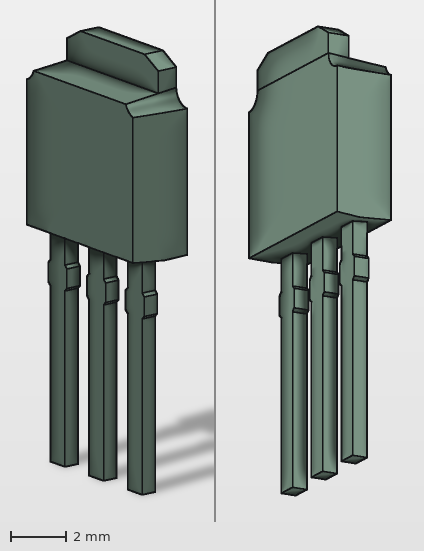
import cadquery as cq
import math

TOTAL_HEIGHT = 16.35

HOUSING_WIDTH = 6.7
HOUSING_DEPTH = 2.35
DRAFT = math.radians(5)
HOUSING_TOP = TOTAL_HEIGHT - 1.22
HOUSING_BOTTOM = 8.89
BACK_BOTTOM_RISE = 0.05
NOTCH_RADIUS = 0.65

TAB_WIDTH = 5.4
TAB_THICKNESS = 0.84
TAB_CORNER_RUN = 0.8
TAB_CORNER_DROP = 0.45

LEAD_COUNT = 3
LEAD_PITCH = 2.286
LEAD_WIDTH = 0.87
LEAD_THICKNESS = 0.6
LEAD_BACK = -0.99
COLLAR_WIDTH = 1.11
COLLAR_TOP = 7.64
COLLAR_BOTTOM = 6.66
COLLAR_BEVEL = 0.12

TRIM_LENGTH = 0.5


def make_housing():
    front_y = -HOUSING_DEPTH
    full_draft = HOUSING_DEPTH * math.tan(DRAFT)
    front_bottom_rise = (HOUSING_DEPTH + LEAD_BACK) * math.tan(DRAFT)
    half_back = HOUSING_WIDTH / 2
    half_front = half_back - full_draft

    side_profile = (
        cq.Workplane("YZ")
        .moveTo(0, HOUSING_TOP)
        .lineTo(front_y, HOUSING_TOP - full_draft)
        .lineTo(front_y, HOUSING_BOTTOM + front_bottom_rise)
        .lineTo(LEAD_BACK, HOUSING_BOTTOM)
        .lineTo(0, HOUSING_BOTTOM + BACK_BOTTOM_RISE)
        .close()
        .extrude(half_back, both=True)
    )
    plan_profile = (
        cq.Workplane("XY")
        .polyline([(-half_back, 0), (half_back, 0), (half_front, front_y), (-half_front, front_y)])
        .close()
        .extrude(TOTAL_HEIGHT)
    )
    corner_scoops = (
        cq.Workplane("XZ")
        .pushPoints([(-half_back, HOUSING_TOP), (half_back, HOUSING_TOP)])
        .circle(NOTCH_RADIUS)
        .extrude(HOUSING_DEPTH)
    )
    return side_profile.intersect(plan_profile).cut(corner_scoops).solids()


def make_tab(housing):
    """Plate with two bevelled upper corners, standing on the housing top."""
    half_width = TAB_WIDTH / 2
    half_top = half_width - TAB_CORNER_RUN
    shoulder = TOTAL_HEIGHT - TAB_CORNER_DROP
    bottom = HOUSING_TOP - TRIM_LENGTH
    plate = (
        cq.Workplane("XZ")
        .moveTo(-half_width, bottom)
        .lineTo(-half_width, shoulder)
        .lineTo(-half_top, TOTAL_HEIGHT)
        .lineTo(half_top, TOTAL_HEIGHT)
        .lineTo(half_width, shoulder)
        .lineTo(half_width, bottom)
        .close()
        .extrude(TAB_THICKNESS)
    )
    return plate.cut(housing).solids()


def make_lead(center_x, housing):
    """Straight lead with a bevelled collar, ending on the housing underside."""
    half_width = LEAD_WIDTH / 2
    half_collar = COLLAR_WIDTH / 2
    right_edge = [
        (half_width, 0),
        (half_width, COLLAR_BOTTOM),
        (half_collar, COLLAR_BOTTOM + COLLAR_BEVEL),
        (half_collar, COLLAR_TOP - COLLAR_BEVEL),
        (half_width, COLLAR_TOP),
        (half_width, HOUSING_BOTTOM + TRIM_LENGTH),
    ]
    left_edge = [(-x, z) for x, z in reversed(right_edge)]
    strip = (
        cq.Workplane("XZ", origin=(center_x, LEAD_BACK, 0))
        .polyline(right_edge + left_edge)
        .close()
        .extrude(LEAD_THICKNESS)
    )
    return strip.cut(housing).solids()


housing = make_housing()
tab = make_tab(housing)
leads = []
for index in range(LEAD_COUNT):
    lead_x = (index - (LEAD_COUNT - 1) / 2) * LEAD_PITCH
    leads.append(make_lead(lead_x, housing))

result = cq.Compound.makeCompound([housing.val(), tab.val(), *[lead.val() for lead in leads]])